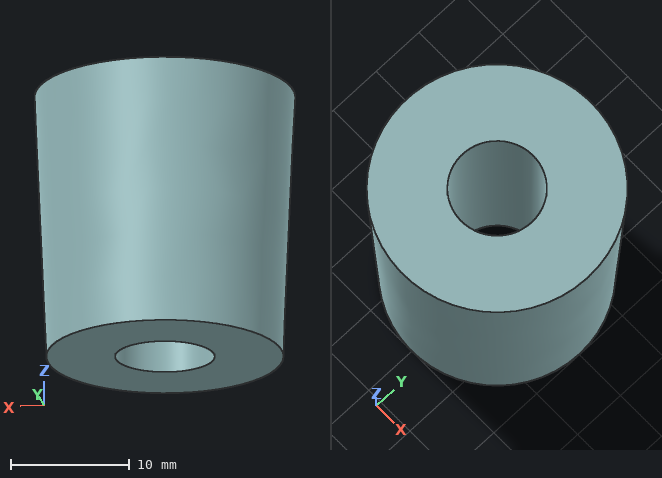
import cadquery as cq

height = 23.0
top_diameter = 22.0
bottom_diameter = 20.0
bore_diameter = 8.4

top_radius = top_diameter / 2
bottom_radius = bottom_diameter / 2
bore_radius = bore_diameter / 2

half_section = (
    cq.Workplane("XZ")
    .moveTo(bore_radius, 0)
    .lineTo(bottom_radius, 0)
    .lineTo(top_radius, height)
    .lineTo(bore_radius, height)
    .close()
)

result = half_section.revolve(360, (0, 0, 0), (0, 1, 0))